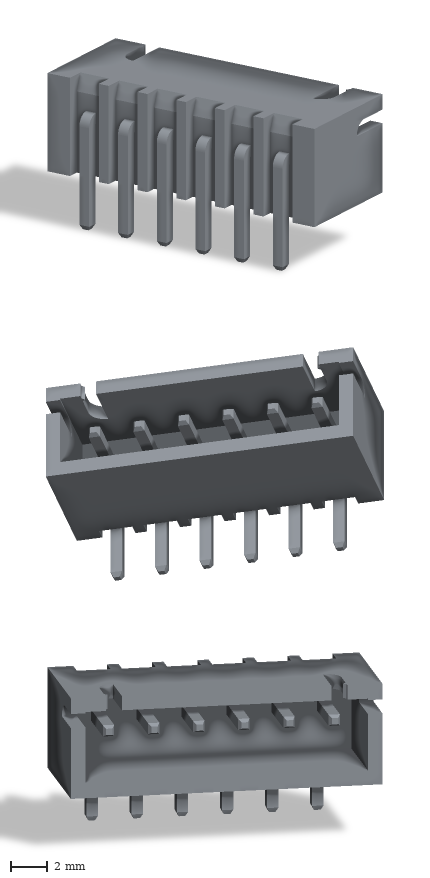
import cadquery as cq
import math


COS_45 = math.sqrt(0.5)

pin_count = 6
pin_pitch = 2.54
pin_row_offset = 0.02
pin_width = 0.64
pin_bend_radius = 0.7
pin_tip_length = 0.27
pin_tip_width = 0.36
pin_drop = 3.0
pin_overhang = 0.02
pin_setback = 1.22
pin_top_depth = 2.02

length = 17.54
depth = 7.0
height = 5.75
wall = 0.82
rear_wall = 2.0

groove_width = 1.9
groove_depth = 0.7
groove_top_depth = 1.07
groove_slope_height = 1.0

slot_inset = 1.97
slot_width = 0.9
slot_depth = 2.7
rib_height = 0.16
rib_setback = 0.42

notch_top_depth = 0.9
notch_width = 0.8
notch_depth = 2.65

pin_xs = [pin_row_offset + (i - (pin_count - 1) / 2) * pin_pitch for i in range(pin_count)]
pin_top_z = height - pin_top_depth
pin_axis_z = pin_top_z - pin_width / 2
leg_rear_y = -pin_overhang
leg_axis_y = leg_rear_y + pin_width / 2
blade_end_y = depth - pin_setback - pin_tip_length
leg_end_z = pin_tip_length - pin_drop


def box(x_min, x_max, y_min, y_max, z_min, z_max):
    """Axis-aligned block between two opposite corners."""
    size = (x_max - x_min, y_max - y_min, z_max - z_min)
    return cq.Workplane("XY").box(*size, centered=False).translate((x_min, y_min, z_min))


def square_tip(plane):
    """Tapered square point growing along the normal of the given plane."""
    return (
        cq.Workplane(plane)
        .rect(pin_width, pin_width)
        .workplane(offset=pin_tip_length)
        .rect(pin_tip_width, pin_tip_width)
        .loft(combine=True)
    )


def make_pin(x):
    """Right-angle square pin with a rounded bend and tapered ends."""
    inner_radius = pin_bend_radius - pin_width
    bend_y = leg_rear_y + pin_bend_radius
    bend_z = pin_top_z - pin_bend_radius
    outer_mid = (bend_y - pin_bend_radius * COS_45, bend_z + pin_bend_radius * COS_45)
    inner_mid = (bend_y - inner_radius * COS_45, bend_z + inner_radius * COS_45)
    start = cq.Plane((x, 0, 0), (0, 1, 0), (1, 0, 0))
    body = (
        cq.Workplane(start)
        .moveTo(leg_rear_y, leg_end_z)
        .lineTo(leg_rear_y, bend_z)
        .threePointArc(outer_mid, (bend_y, pin_top_z))
        .lineTo(blade_end_y, pin_top_z)
        .lineTo(blade_end_y, pin_top_z - pin_width)
        .lineTo(bend_y, pin_top_z - pin_width)
        .threePointArc(inner_mid, (leg_rear_y + pin_width, bend_z))
        .lineTo(leg_rear_y + pin_width, leg_end_z)
        .close()
        .extrude(pin_width / 2, both=True)
    )
    blade_plane = cq.Plane((x, blade_end_y, pin_axis_z), (1, 0, 0), (0, 1, 0))
    leg_plane = cq.Plane((x, leg_axis_y, leg_end_z), (1, 0, 0), (0, 0, -1))
    return body.union(square_tip(blade_plane)).union(square_tip(leg_plane))


def groove_cut(x):
    """Rear groove whose floor slopes deeper toward the housing top."""
    profile = [
        (0, 0),
        (groove_depth, 0),
        (groove_depth, height - groove_slope_height),
        (groove_top_depth, height),
        (0, height),
    ]
    start = cq.Plane((x, 0, 0), (0, 1, 0), (1, 0, 0))
    return cq.Workplane(start).polyline(profile).close().extrude(groove_width / 2, both=True)


def slot_cut():
    """Left keying slot: a quarter-round end and a small triangular rib on its outer side."""
    outer_x = slot_inset - length / 2
    inner_x = outer_x + slot_width
    end_y = depth - slot_depth
    rib_y = depth - rib_setback
    arc_mid = (
        inner_x - slot_width * COS_45,
        end_y + slot_width * (1 - COS_45),
    )
    return (
        cq.Workplane("XY", origin=(0, 0, height - wall))
        .moveTo(inner_x, depth)
        .lineTo(inner_x, end_y)
        .threePointArc(arc_mid, (outer_x, end_y + slot_width))
        .lineTo(outer_x, rib_y - rib_height)
        .lineTo(outer_x + rib_height, rib_y)
        .lineTo(outer_x, rib_y + rib_height)
        .lineTo(outer_x, depth)
        .close()
        .extrude(wall)
    )


def notch_cut():
    """Keying notch through both end walls, with a quarter-round upper corner."""
    top_z = height - notch_top_depth
    floor_z = top_z - notch_width
    end_y = depth - notch_depth
    arc_mid = (
        end_y + notch_width * (1 - COS_45),
        floor_z + notch_width * COS_45,
    )
    return (
        cq.Workplane("YZ")
        .moveTo(depth, floor_z)
        .lineTo(end_y, floor_z)
        .threePointArc(arc_mid, (end_y + notch_width, top_z))
        .lineTo(depth, top_z)
        .close()
        .extrude(length / 2, both=True)
    )


def make_housing(pins):
    """Open-mouthed shroud with keying cut-outs, rear grooves and pin holes."""
    half = length / 2
    housing = box(-half, half, 0, depth, 0, height)
    housing = housing.cut(box(wall - half, half - wall, rear_wall, depth, wall, height - wall))
    slot = slot_cut()
    housing = housing.cut(slot).cut(slot.mirror("YZ")).cut(notch_cut())
    for x in pin_xs:
        housing = housing.cut(groove_cut(x))
    for pin in pins:
        housing = housing.cut(pin)
    return housing


pins = [make_pin(x) for x in pin_xs]
housing = make_housing(pins)

result = cq.Compound.makeCompound([housing.val(), *[pin.val() for pin in pins]])